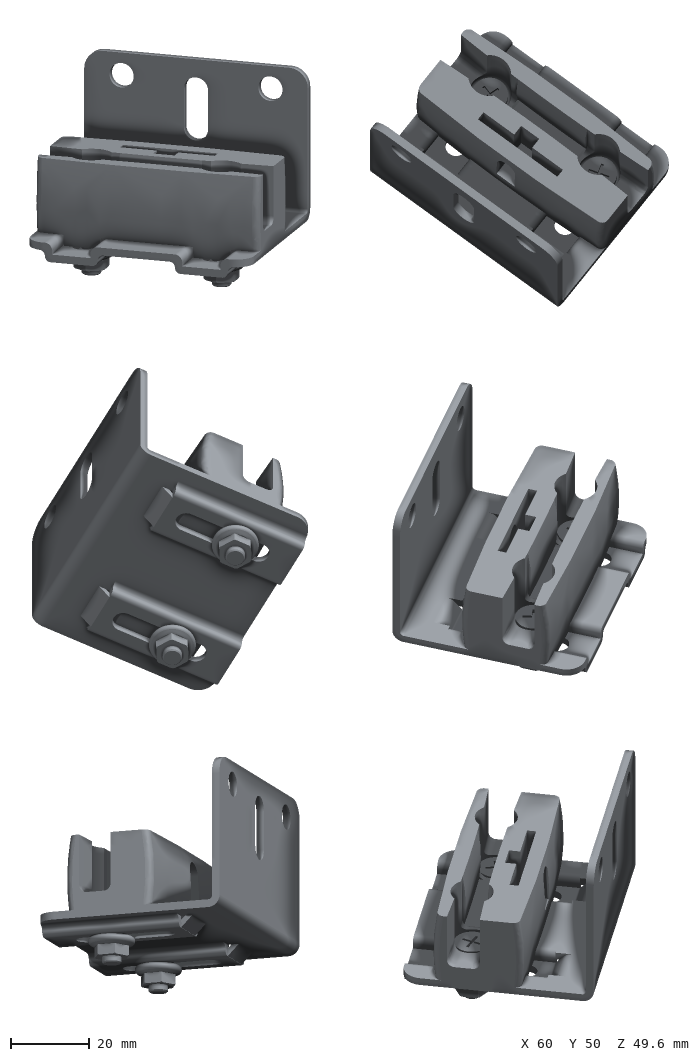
import cadquery as cq
import math


width = 60.0
half_width = width / 2
depth = 50.0
back_height = 37.9
sheet = 2.05
bend_radius = 0.95
corner_radius = 5.0

mount_diameter = 6.5
mount_half_pitch = 20.0
mount_z = 31.9
mount_slot_top_z = 29.9
mount_slot_bottom_z = 19.7

channel_x = 17.45
channel_positions = (-channel_x, channel_x)
channel_width = 10.3
channel_drop = 3.0
channel_round = 1.9
channel_back_y = -13.0
s_bend_radius = channel_drop / 2
channel_half = channel_width / 2

ramp_back_y = -8.7
ramp_bend_radius = 3.2
ramp_angle = math.radians(45)
ramp_under_y = -10.1
ramp_foot_radius = 0.65

adjust_slot_width = 5.5
adjust_slot_length = 26.3

block_y = -30.0
block_top = 19.6
block_half_depth = 12.55
block_corner_radius = 1.8
side_bulge = 1.0
plan_bulge = 0.9
tongue_width = 9.95

groove_y = -33.7
groove_floor = 4.45
groove_end_half = 4.25
groove_mid_half = 3.5
groove_fillet = 1.9

jaw_half_length = 11.05
jaw_bulge = 0.8
jaw_z = 11.3
recess_depth = 0.25
recess_slope = 0.65

pocket_diameter = 11.0
pocket_floor = 2.4
pocket_fillet = 0.85
screw_clearance = 5.5

tee_half_length = 12.7
tee_floor_half = 10.4
tee_back_y = -22.55
tee_front_y = -24.9
tee_stem_half = 2.9
tee_stem_y = -27.85
tee_floor = 6.0
window_top = 17.2

screw_diameter = 5.0
head_diameter = 9.3
head_height = 1.9
screw_bottom = -11.75
screw_chamfer = 0.3
cross_length = 5.5
cross_width = 0.7
cross_depth = 1.2
cross_angle = 17.0

flange_diameter = 12.0
flange_face_diameter = 11.05
flange_rim = 1.8
flange_height = 2.35
collar_diameter = 8.65
hex_flats = 8.05
hex_height = 2.7
hex_chamfer = 0.25
nut_top = -channel_drop - sheet


def box(x0, x1, y0, y1, z0, z1):
    return cq.Workplane("XY").box(x1 - x0, y1 - y0, z1 - z0, centered=False).translate((x0, y0, z0))


def disc(x, y, diameter, z0, z1):
    return cq.Workplane("XY", origin=(x, y, z0)).circle(diameter / 2).extrude(z1 - z0)


def arc_radius(half_chord, rise):
    return (half_chord**2 + rise**2) / (2 * rise)


def barrel(axis_y, edge_radius, bulge, z0, z1):
    """Solid of revolution about a vertical axis, with a side that bulges between z0 and z1."""
    return (
        cq.Workplane("XZ")
        .moveTo(0, z0)
        .lineTo(edge_radius, z0)
        .threePointArc((edge_radius + bulge, (z0 + z1) / 2), (edge_radius, z1))
        .lineTo(0, z1)
        .close()
        .revolve(360, (0, 0, 0), (0, 1, 0))
        .translate((0, axis_y, 0))
    )


def bent_sheet():
    outer_radius = bend_radius + sheet
    return (
        cq.Workplane("YZ", origin=(-half_width, 0, 0))
        .moveTo(-depth, -sheet)
        .lineTo(-outer_radius, -sheet)
        .radiusArc((0, outer_radius - sheet), -outer_radius)
        .lineTo(0, back_height)
        .lineTo(-sheet, back_height)
        .lineTo(-sheet, bend_radius)
        .radiusArc((-outer_radius, 0), bend_radius)
        .lineTo(-depth, 0)
        .close()
        .extrude(width)
    )


def channel_section(x):
    """Pressed sheet of one channel: an X-Z section that runs from its back end to the front edge."""
    rim = channel_half + channel_round
    bottom = -channel_drop - sheet
    step = rim + s_bend_radius
    return (
        cq.Workplane("XZ", origin=(x, channel_back_y, 0))
        .moveTo(-step, 0)
        .lineTo(-rim, 0)
        .radiusArc((-channel_half, -channel_round), channel_round)
        .lineTo(-channel_half, -channel_drop)
        .lineTo(channel_half, -channel_drop)
        .lineTo(channel_half, -channel_round)
        .radiusArc((rim, 0), channel_round)
        .lineTo(step, 0)
        .lineTo(step, -sheet)
        .radiusArc((rim, -sheet - s_bend_radius), -s_bend_radius)
        .radiusArc((rim - s_bend_radius, bottom), s_bend_radius)
        .lineTo(s_bend_radius - rim, bottom)
        .radiusArc((-rim, -sheet - s_bend_radius), s_bend_radius)
        .radiusArc((-step, -sheet), -s_bend_radius)
        .close()
        .extrude(depth + channel_back_y)
    )


def ramp(x):
    """Sheet strip that slopes from the base plate down to the channel floor, with a rounded foot."""
    bend_run = ramp_bend_radius * math.sin(ramp_angle)
    bend_drop = ramp_bend_radius * (1 - math.cos(ramp_angle))
    foot_y = ramp_back_y - bend_run - (channel_drop - bend_drop) / math.tan(ramp_angle)
    under_foot_y = ramp_under_y - channel_drop / math.tan(ramp_angle)
    half_angle = ramp_angle / 2
    bend_mid = (
        ramp_back_y - ramp_bend_radius * math.sin(half_angle),
        -ramp_bend_radius * (1 - math.cos(half_angle)),
    )
    strip = (
        cq.Workplane("YZ", origin=(x - channel_half, 0, 0))
        .moveTo(ramp_back_y, -sheet)
        .lineTo(ramp_back_y, 0)
        .threePointArc(bend_mid, (ramp_back_y - bend_run, -bend_drop))
        .lineTo(foot_y, -channel_drop)
        .lineTo(foot_y - ramp_foot_radius, -channel_drop)
        .lineTo(foot_y - ramp_foot_radius, nut_top)
        .lineTo(under_foot_y, nut_top)
        .lineTo(ramp_under_y, -sheet)
        .close()
        .extrude(channel_width)
    )
    foot_edge = cq.selectors.NearestToPointSelector((x, foot_y, -channel_drop))
    return strip.edges(foot_edge).fillet(ramp_foot_radius)


def plan_outline():
    """Prism that rounds the two front corners of the bracket."""
    prism = box(-half_width, half_width, -depth, 0, nut_top, back_height)
    return prism.edges("|Z").edges("<Y").fillet(corner_radius)


def make_bracket():
    bracket = bent_sheet()
    rim = channel_half + channel_round
    for x in channel_positions:
        bracket = bracket.cut(box(x - rim, x + rim, -depth, channel_back_y, -sheet, 0))
        bracket = bracket.cut(box(x - channel_half, x + channel_half, channel_back_y, ramp_back_y, -sheet, 0))
        bracket = bracket.union(channel_section(x)).union(ramp(x))
        adjust_slot = (
            cq.Workplane("XY", origin=(x, block_y, nut_top))
            .slot2D(adjust_slot_length, adjust_slot_width, 90)
            .extrude(sheet)
        )
        bracket = bracket.cut(adjust_slot)
    mount_holes = (
        cq.Workplane("XZ")
        .pushPoints([(-mount_half_pitch, mount_z), (mount_half_pitch, mount_z)])
        .circle(mount_diameter / 2)
        .extrude(sheet)
    )
    mount_slot = (
        cq.Workplane("XZ")
        .center(0, (mount_slot_top_z + mount_slot_bottom_z) / 2)
        .slot2D(mount_slot_top_z - mount_slot_bottom_z + mount_diameter, mount_diameter, 90)
        .extrude(sheet)
    )
    bracket = bracket.cut(mount_holes).cut(mount_slot)
    bracket = bracket.edges("|Y").edges(">Z").fillet(corner_radius)
    return bracket.intersect(plan_outline())


def block_body():
    """Body with front and back sides curved both along X and along Z, and a tongue for each channel."""
    plan_radius = arc_radius(half_width, plan_bulge)
    blank_half_depth = block_half_depth + plan_bulge
    blank_back = block_y + blank_half_depth
    blank_front = block_y - blank_half_depth
    body = box(-half_width, half_width, blank_front, blank_back, -channel_drop, block_top)
    for side in (-1, 1):
        axis_y = block_y + side * (block_half_depth - plan_radius)
        body = body.intersect(barrel(axis_y, plan_radius - side_bulge, side_bulge, -channel_drop, block_top))
    body = body.faces("<X or >X").edges("not #Z").fillet(block_corner_radius)
    tongue_half = tongue_width / 2
    gaps = (
        (-half_width, -channel_x - tongue_half),
        (-channel_x + tongue_half, channel_x - tongue_half),
        (channel_x + tongue_half, half_width),
    )
    for x0, x1 in gaps:
        body = body.cut(box(x0, x1, -depth, 0, -channel_drop, 0))
    return body


def groove():
    """Groove along X; in its middle it narrows between two bulged jaws and has a shallow recess."""
    far_side = groove_y + groove_end_half
    near_side = groove_y - groove_end_half
    cutter = (
        cq.Workplane("XY", origin=(0, 0, groove_floor))
        .moveTo(-half_width, near_side)
        .threePointArc((0, groove_y - groove_mid_half), (half_width, near_side))
        .lineTo(half_width, far_side)
        .threePointArc((0, groove_y + groove_mid_half), (-half_width, far_side))
        .close()
        .extrude(block_top - groove_floor)
    )
    cutter = cutter.faces("<Z").edges("not |Y").fillet(groove_fillet)

    floor_half = jaw_half_length - recess_slope
    recess_floor = groove_floor - recess_depth
    middle = (
        cq.Workplane("XZ", origin=(0, far_side, 0))
        .moveTo(-floor_half, recess_floor)
        .lineTo(floor_half, recess_floor)
        .lineTo(jaw_half_length, groove_floor)
        .lineTo(jaw_half_length, block_top)
        .lineTo(-jaw_half_length, block_top)
        .lineTo(-jaw_half_length, groove_floor)
        .close()
        .extrude(2 * groove_end_half)
    )
    wall_radius = arc_radius(half_width, groove_end_half - groove_mid_half)
    jaw_bottom = 2 * jaw_z - block_top
    for side in (-1, 1):
        axis_y = groove_y + side * (groove_mid_half + wall_radius)
        middle = middle.cut(barrel(axis_y, wall_radius, jaw_bulge, jaw_bottom, block_top))
    ends = cutter.cut(box(-jaw_half_length, jaw_half_length, near_side, far_side, groove_floor, block_top))
    return ends.union(middle)


def screw_pocket(x):
    pocket = disc(x, groove_y, pocket_diameter, pocket_floor, block_top)
    pocket = pocket.faces("<Z").edges().fillet(pocket_fillet)
    return pocket.union(disc(x, groove_y, screw_clearance, -channel_drop, pocket_floor))


def tee_pocket():
    """T-shaped pocket whose floor is rounded down at both ends, with a window through the back side."""
    end_round = tee_half_length - tee_floor_half
    bar = (
        cq.Workplane("XZ", origin=(0, tee_back_y, 0))
        .moveTo(-tee_floor_half, tee_floor)
        .lineTo(tee_floor_half, tee_floor)
        .radiusArc((tee_half_length, tee_floor - end_round), end_round)
        .lineTo(tee_half_length, block_top)
        .lineTo(-tee_half_length, block_top)
        .lineTo(-tee_half_length, tee_floor - end_round)
        .radiusArc((-tee_floor_half, tee_floor), end_round)
        .close()
        .extrude(tee_back_y - tee_front_y)
    )
    stem = box(-tee_stem_half, tee_stem_half, tee_stem_y, tee_front_y, tee_floor, block_top)
    window = (
        cq.Workplane("XZ")
        .moveTo(-tee_stem_half, tee_floor)
        .lineTo(tee_stem_half, tee_floor)
        .lineTo(tee_stem_half, window_top - tee_stem_half)
        .radiusArc((-tee_stem_half, window_top - tee_stem_half), -tee_stem_half)
        .close()
        .extrude(-tee_front_y)
    )
    return bar.union(stem).union(window)


def make_block():
    block = block_body().cut(groove()).cut(tee_pocket())
    for x in channel_positions:
        block = block.cut(screw_pocket(x))
    return block.newObject([block.val().fix()])


def make_screw(x):
    head_top = pocket_floor + head_height
    shank = disc(x, groove_y, screw_diameter, screw_bottom, pocket_floor)
    shank = shank.faces("<Z").chamfer(screw_chamfer)
    screw = shank.union(disc(x, groove_y, head_diameter, pocket_floor, head_top))
    turn = -math.copysign(cross_angle, x)
    for angle in (turn, turn + 90):
        bar = (
            cq.Workplane("XY", origin=(x, groove_y, head_top - cross_depth))
            .transformed(rotate=(0, 0, angle))
            .rect(cross_length, cross_width)
            .extrude(cross_depth)
        )
        screw = screw.cut(bar)
    return screw


def make_flange_nut(x):
    """Hexagon nut whose flange has a rounded rim and tapers down to the hexagon."""
    flange = (
        cq.Workplane("XZ")
        .lineTo(flange_face_diameter / 2, 0)
        .threePointArc((flange_diameter / 2, -flange_rim / 2), (flange_face_diameter / 2, -flange_rim))
        .lineTo(collar_diameter / 2, -flange_height)
        .lineTo(0, -flange_height)
        .close()
        .revolve(360, (0, 0, 0), (0, 1, 0))
        .translate((x, groove_y, nut_top))
    )
    hex_corners = hex_flats / math.cos(math.pi / 6)
    hex_top = nut_top - flange_height
    hexagon = (
        cq.Workplane("XY", origin=(x, groove_y, hex_top - hex_height))
        .transformed(rotate=(0, 0, 90))
        .polygon(6, hex_corners)
        .extrude(hex_height)
    )
    chamfered_round = disc(x, groove_y, hex_corners, hex_top - hex_height, hex_top)
    hexagon = hexagon.intersect(chamfered_round.faces("<Z").chamfer(hex_chamfer))
    return flange.union(hexagon).cut(disc(x, groove_y, screw_diameter, screw_bottom, nut_top))


bracket = make_bracket()
block = make_block()
screws = [make_screw(x) for x in channel_positions]
flange_nuts = [make_flange_nut(x) for x in channel_positions]

bodies = [bracket, block, *screws, *flange_nuts]
result = cq.Compound.makeCompound([body.solids().val() for body in bodies])